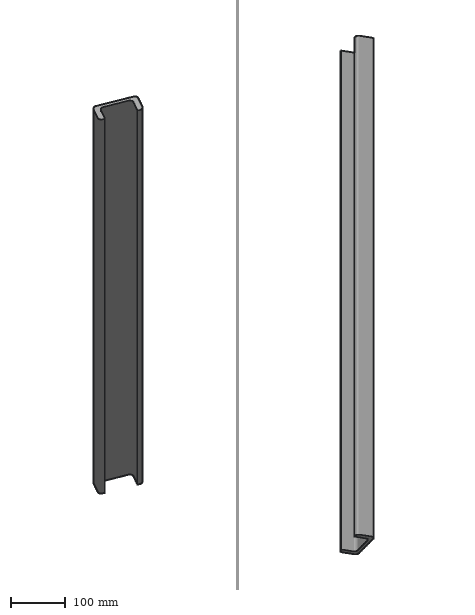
import cadquery as cq

depth = 36.0
width = 87.0
length = 1000.0

web_thickness = 7.0
flange_thickness = 12.0
outer_radius = 7.0
inner_radius = 7.0

bar = (
    cq.Workplane("XY")
    .rect(depth, width)
    .extrude(length)
    .edges("|Z")
    .fillet(outer_radius)
)

pocket = (
    cq.Workplane("XY")
    .center(web_thickness, 0)
    .rect(depth, width - 2 * flange_thickness)
    .extrude(length)
    .edges("|Z and <X")
    .fillet(inner_radius)
)

result = bar.cut(pocket)